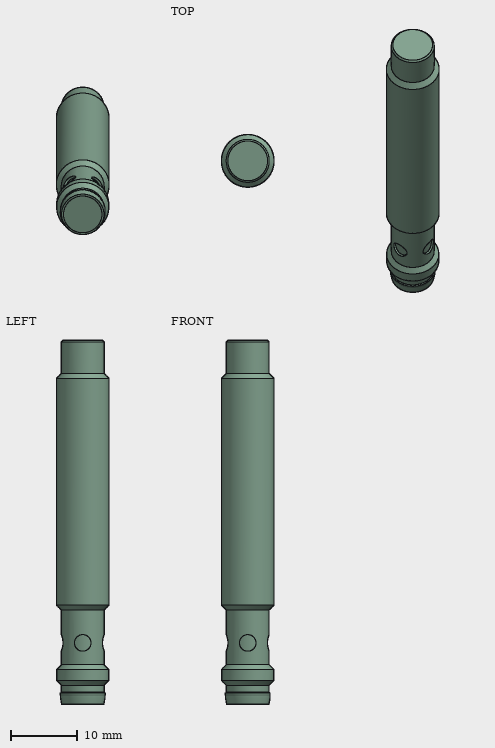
import cadquery as cq

total_length = 55.0
sleeve_radius = 4.0
neck_radius = 3.25

cap_bottom = 50.0
cap_length = total_length - cap_bottom
cap_chamfer = 0.25

sleeve_chamfer = sleeve_radius - neck_radius
sleeve_bottom = 14.25

collar_radius = 3.95
collar_bottom = 2.9
collar_top = 6.0
collar_chamfer = collar_radius - neck_radius

bead_radius = 3.4
bead_bottom = 1.45
bead_top = 1.7
bead_lead_in = bead_radius - neck_radius
end_radius = 3.2
end_bulge_radius = 3.35

window_count = 4
window_diameter = 2.5
window_height = 9.3
guide_radius = 2.9
guide_length = 12.0


def make_housing():
    """Turned housing, bored from below for the light guide, with windows around the neck."""
    body = (
        cq.Workplane("XZ")
        .moveTo(0, 0)
        .lineTo(end_radius, 0)
        .threePointArc((end_bulge_radius, bead_bottom / 2), (bead_radius, bead_bottom))
        .lineTo(bead_radius, bead_top)
        .lineTo(neck_radius, bead_top + bead_lead_in)
        .lineTo(neck_radius, collar_bottom)
        .lineTo(collar_radius, collar_bottom + collar_chamfer)
        .lineTo(collar_radius, collar_top - collar_chamfer)
        .lineTo(neck_radius, collar_top)
        .lineTo(neck_radius, sleeve_bottom)
        .lineTo(sleeve_radius, sleeve_bottom + sleeve_chamfer)
        .lineTo(sleeve_radius, cap_bottom - sleeve_chamfer)
        .lineTo(neck_radius, cap_bottom)
        .lineTo(0, cap_bottom)
        .close()
        .revolve(360, (0, 0, 0), (0, 1, 0))
    )
    bore = cq.Workplane("XY").circle(guide_radius).extrude(guide_length)
    body = body.cut(bore)
    window = (
        cq.Workplane("YZ")
        .center(0, window_height)
        .circle(window_diameter / 2)
        .extrude(sleeve_radius)
    )
    for index in range(window_count):
        angle = index * 360 / window_count
        body = body.cut(window.rotate((0, 0, 0), (0, 0, 1), angle))
    return body


def make_light_guide():
    """Round core that fills the housing bore and shows through the windows."""
    return cq.Workplane("XY").circle(guide_radius).extrude(guide_length)


def make_cap():
    """Round sensing cap standing on the top face of the housing."""
    return (
        cq.Workplane("XY", origin=(0, 0, cap_bottom))
        .circle(neck_radius)
        .extrude(cap_length)
        .faces(">Z")
        .edges()
        .chamfer(cap_chamfer)
    )


housing = make_housing()
light_guide = make_light_guide()
cap = make_cap()

result = cq.Compound.makeCompound([housing.val(), light_guide.val(), cap.val()])